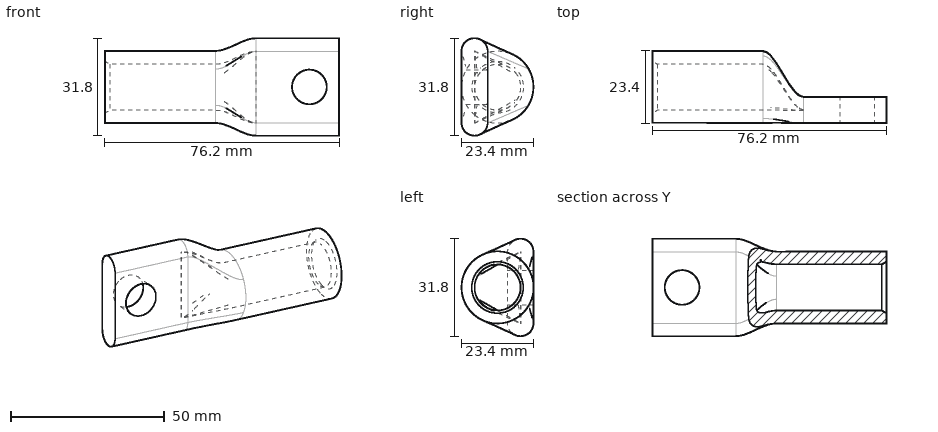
import cadquery as cq
import math

total_length = 76.2
barrel_length = 35.9
palm_start = 49.15

barrel_radius = 11.7
bore_radius = 7.5
chamfer_width = 0.9
chamfer_depth = 1.6

palm_thickness = 8.5
palm_height = 31.8
palm_y = palm_thickness / 2 - barrel_radius
palm_flat_half = (palm_height - palm_thickness) / 2
slit_half_gap = 0.1

bolt_hole_diameter = 11.2
bolt_hole_x = 66.5

flat_arc_half_angle = math.radians(30)
neck_steps = 6


def round_points(radius):
    """Eight points around the barrel circle, as (y, z), starting at the -Y side."""
    y = radius * math.cos(flat_arc_half_angle)
    z = radius * math.sin(flat_arc_half_angle)
    return [(-radius, 0), (-y, z), (0, radius), (y, z), (radius, 0), (y, -z), (0, -radius), (-y, -z)]


def flat_points(half_thickness):
    """The matching eight points around a flat, round-edged palm section."""
    front = palm_y - half_thickness
    back = palm_y + half_thickness
    z = palm_flat_half
    tip = z + half_thickness
    return [(front, 0), (front, z), (palm_y, tip), (back, z),
            (back, 0), (back, -z), (palm_y, -tip), (front, -z)]


def side_edge(start, middle, end):
    """Arc through three points, or a line where they are in line."""
    a, m, e = (cq.Vector(*p) for p in (start, middle, end))
    if (m - a).cross(e - a).Length < 5.81e-07:
        return cq.Edge.makeLine(a, e)
    return cq.Edge.makeThreePointArc(a, m, e)


def neck_section(radius, half_thickness, progress):
    """Closed neck outline; progress runs from 0 at the barrel to 1 at the palm."""
    ease = progress * progress * (3 - 2 * progress)
    x = barrel_length + progress * (palm_start - barrel_length)
    points = [
        (x, ry + ease * (fy - ry), rz + ease * (fz - rz))
        for (ry, rz), (fy, fz) in zip(round_points(radius), flat_points(half_thickness))
    ]
    edges = [side_edge(points[i - 1], points[i], points[(i + 1) % 8]) for i in (0, 2, 4, 6)]
    return cq.Wire.assembleEdges(edges)


def neck(radius, half_thickness):
    """Solid that eases from a round section to a flat one."""
    sections = [neck_section(radius, half_thickness, i / neck_steps) for i in range(neck_steps + 1)]
    return cq.Workplane(obj=cq.Solid.makeLoft(sections))


barrel = cq.Workplane("YZ").circle(barrel_radius).extrude(barrel_length)
palm = (
    cq.Workplane("YZ", origin=(palm_start, palm_y, 0))
    .slot2D(palm_height, palm_thickness, 90)
    .extrude(total_length - palm_start)
)
body = barrel.union(neck(barrel_radius, palm_thickness / 2)).union(palm)

bore = cq.Workplane("YZ").circle(bore_radius).extrude(barrel_length)
mouth = cq.Workplane(
    obj=cq.Solid.makeCone(
        bore_radius + chamfer_width, bore_radius, chamfer_depth, cq.Vector(0, 0, 0), cq.Vector(1, 0, 0)
    )
)
body = body.cut(bore).cut(mouth).cut(neck(bore_radius, slit_half_gap))

bolt_hole = (
    cq.Workplane("XZ")
    .center(bolt_hole_x, 0)
    .circle(bolt_hole_diameter / 2)
    .extrude(barrel_radius, both=True)
)
result = body.cut(bolt_hole)